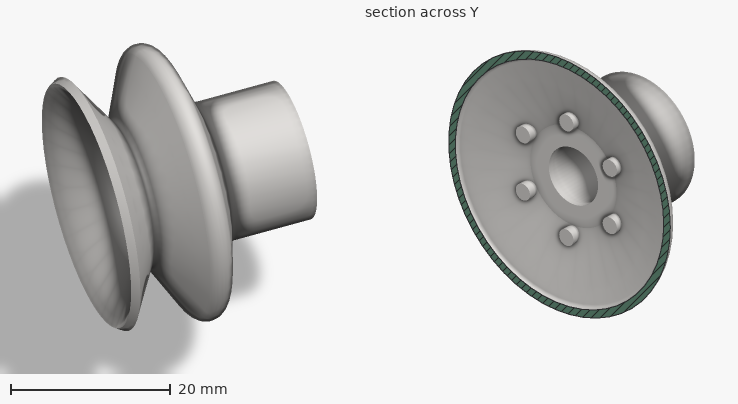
import cadquery as cq
import math


cup_length = 27.5
stem_radius = 9.0
bore_radius = 4.0
neck_fillet = 1.7
neck_height = 17.3

wall = 1.15
fold_radius = 18.0
fold_height = 11.65
fold_rounding = 1.7
waist_radius = 9.65
waist_height = 5.85
waist_rounding = 0.55

lip_rim = (16.5, 1.0)
lip_edge = (15.88, 0)

floor_radius = 7.0
floor_height = 14.5
pin_count = 6
pin_radius = 1.15
pin_tip_height = 13.1
pin_circle_radius = floor_radius + pin_radius

neck_center = (stem_radius + neck_fillet, neck_height)
fold_center = (fold_radius - fold_rounding, fold_height)
waist_center = (waist_radius + waist_rounding, waist_height)
inner_fold_rounding = fold_rounding - wall
inner_waist_rounding = waist_rounding + wall
floor_corner = (floor_radius, floor_height)


def crossed_tangent(center_a, radius_a, center_b, radius_b, side):
    """Touch points of the line tangent to two circles that lie on opposite sides of it.

    side is +1 or -1 for the touch point counterclockwise or clockwise of the line of centres;
    a radius of 0 makes the second circle a point.
    """
    run = center_b[0] - center_a[0]
    rise = center_b[1] - center_a[1]
    spread = math.acos((radius_a + radius_b) / math.hypot(run, rise))
    angle = math.atan2(rise, run) + side * spread
    normal = (math.cos(angle), math.sin(angle))
    touch_a = (center_a[0] + radius_a * normal[0], center_a[1] + radius_a * normal[1])
    touch_b = (center_b[0] - radius_b * normal[0], center_b[1] - radius_b * normal[1])
    return touch_a, touch_b


def make_cup():
    """Bellows body turned from its half section."""
    neck_end, fold_start = crossed_tangent(neck_center, neck_fillet, fold_center, fold_rounding, -1)
    fold_end, waist_start = crossed_tangent(fold_center, fold_rounding, waist_center, waist_rounding, 1)
    waist_end, _ = crossed_tangent(waist_center, waist_rounding, lip_rim, 0, -1)

    inner_waist_start, _ = crossed_tangent(waist_center, inner_waist_rounding, lip_edge, 0, -1)
    inner_waist_end, inner_fold_start = crossed_tangent(
        waist_center, inner_waist_rounding, fold_center, inner_fold_rounding, 1
    )
    inner_fold_end, _ = crossed_tangent(fold_center, inner_fold_rounding, floor_corner, 0, -1)

    section = (
        cq.Workplane("XY")
        .moveTo(bore_radius, cup_length)
        .lineTo(stem_radius, cup_length)
        .lineTo(stem_radius, neck_height)
        .tangentArcPoint(neck_end, relative=False)
        .lineTo(*fold_start)
        .threePointArc((fold_radius, fold_height), fold_end)
        .lineTo(*waist_start)
        .threePointArc((waist_radius, waist_height), waist_end)
        .lineTo(*lip_rim)
        .lineTo(*lip_edge)
        .lineTo(*inner_waist_start)
        .threePointArc((waist_radius - wall, waist_height), inner_waist_end)
        .lineTo(*inner_fold_start)
        .threePointArc((fold_radius - wall, fold_height), inner_fold_end)
        .lineTo(*floor_corner)
        .lineTo(bore_radius, floor_height)
        .close()
    )
    return section.revolve(360, (0, 0, 0), (0, 1, 0))


def make_pins():
    """Ring of pins rooted at floor level and standing out of the sloping cavity roof."""
    return (
        cq.Workplane("XZ", origin=(0, pin_tip_height, 0))
        .polarArray(pin_circle_radius, 90, 360, pin_count)
        .circle(pin_radius)
        .extrude(pin_tip_height - floor_height)
    )


result = make_cup().union(make_pins())